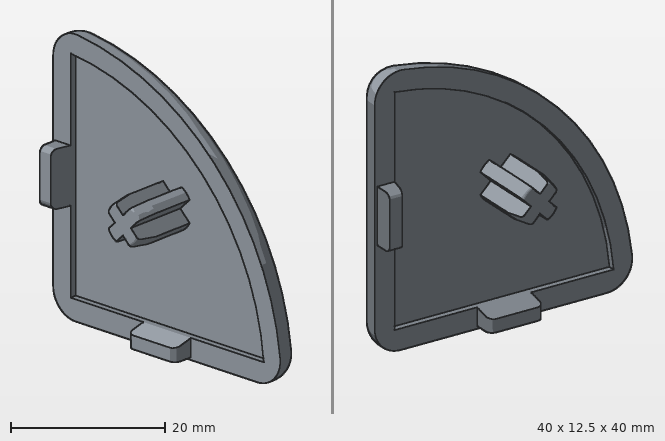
import cadquery as cq
import math


arc_radius = 40.25
corner_radius = 4.0
plate_thickness = 4.0
back_edge_radius = 3.0

side_rim_width = 3.1
arc_rim_width = 3.0
recess_depth = 1.0

tab_length = 8.4
tab_height = 3.0
tab_edge_inset = 0.4
tab_slope_angle = 14.0
tab_corner_radius = 1.0

post_radius = 3.45
post_tip_radius = 3.0
post_height = 8.5
post_taper_height = 3.0
post_tip_fillet = 0.5
post_arm_width = 2.0

recess_arc_radius = arc_radius - arc_rim_width
recess_reach = math.sqrt(recess_arc_radius**2 - side_rim_width**2)
recess_middle = (side_rim_width + recess_reach) / 2


def face_plane(y):
    """Sketch plane at depth y: local x is X, local y is Z, and extrusion runs toward -Y."""
    return cq.Workplane("XZ", origin=(0, y, 0))


def make_plate():
    corner_reach = math.sqrt((arc_radius - corner_radius)**2 - corner_radius**2)
    tangent_scale = arc_radius / (arc_radius - corner_radius)
    arc_near = corner_radius * tangent_scale
    arc_far = corner_reach * tangent_scale
    arc_middle = arc_radius * math.sqrt(0.5)
    outline = (
        face_plane(plate_thickness)
        .moveTo(corner_radius, 0)
        .lineTo(corner_reach, 0)
        .tangentArcPoint((arc_far, arc_near), relative=False)
        .threePointArc((arc_middle, arc_middle), (arc_near, arc_far))
        .tangentArcPoint((0, corner_reach), relative=False)
        .lineTo(0, corner_radius)
        .tangentArcPoint((corner_radius, 0), relative=False)
        .close()
    )
    return outline.extrude(plate_thickness).faces(">Y").edges().fillet(back_edge_radius)


def make_recess():
    arc_middle = recess_arc_radius * math.sqrt(0.5)
    return (
        face_plane(recess_depth)
        .moveTo(side_rim_width, side_rim_width)
        .lineTo(recess_reach, side_rim_width)
        .threePointArc((arc_middle, arc_middle), (side_rim_width, recess_reach))
        .close()
        .extrude(recess_depth)
    )


def make_left_tab():
    """Tab on the X = 0 side; its inner face slopes from the recess wall to a thinner tip."""
    tip_inner_x = side_rim_width - tab_height * math.tan(math.radians(tab_slope_angle))
    profile = [
        (tab_edge_inset, 0),
        (side_rim_width, 0),
        (tip_inner_x, -tab_height),
        (tab_edge_inset, -tab_height),
    ]
    return (
        cq.Workplane("XY", origin=(0, 0, recess_middle))
        .polyline(profile)
        .close()
        .extrude(tab_length / 2, both=True)
        .faces("<Y")
        .edges("|X")
        .fillet(tab_corner_radius)
    )


def make_bottom_tab():
    """The left tab carried to the Z = 0 side by swapping X and Z."""
    return make_left_tab().mirror("XY").rotate((0, 0, 0), (0, 1, 0), -90)


def make_post():
    """Round tapered pin standing on the recess floor, reduced to a diagonal cross."""
    full_height = recess_depth + post_height
    pin = (
        cq.Workplane("XY")
        .lineTo(post_radius, 0)
        .lineTo(post_radius, post_taper_height - full_height)
        .lineTo(post_tip_radius, -full_height)
        .lineTo(0, -full_height)
        .close()
        .revolve(360, (0, 0, 0), (0, 1, 0))
        .faces("<Y")
        .edges()
        .fillet(post_tip_fillet)
    )
    arm = face_plane(0).rect(2 * post_radius, post_arm_width).extrude(full_height)
    cross = arm.union(arm.rotate((0, 0, 0), (0, 1, 0), 90)).rotate((0, 0, 0), (0, 1, 0), 45)
    return pin.intersect(cross).translate((recess_middle, recess_depth, recess_middle))


result = (
    make_plate()
    .cut(make_recess())
    .union(make_left_tab())
    .union(make_bottom_tab())
    .union(make_post())
)